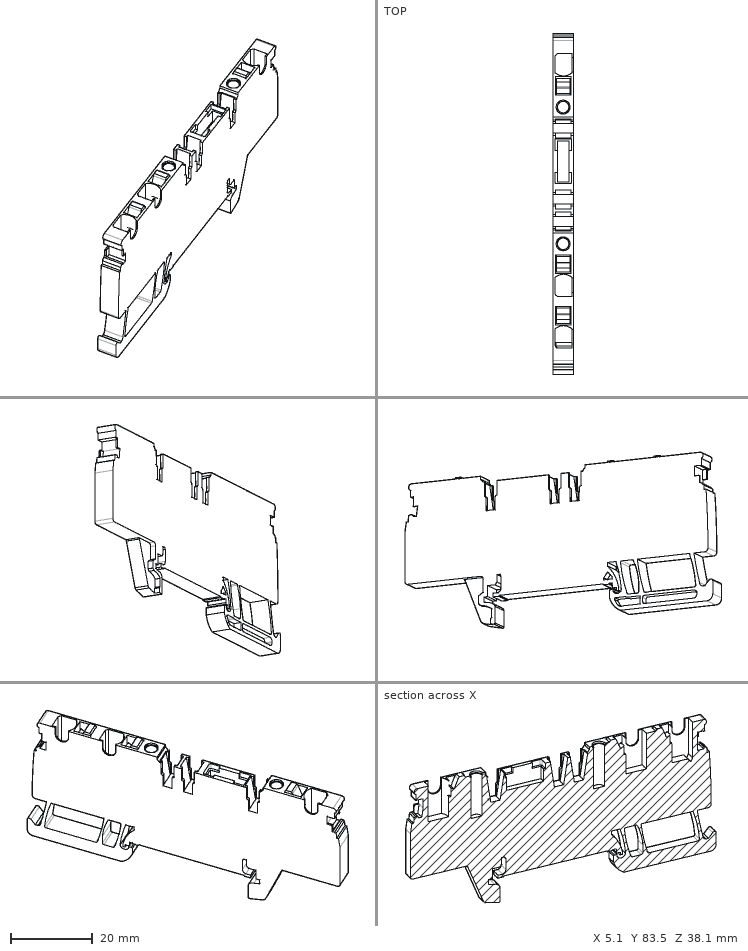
import cadquery as cq


WIDTH = 5.1
LENGTH = 83.54
HEIGHT = 38.1

HALF_LENGTH = LENGTH / 2
TOP_Z = 37.57
BRIDGE_TOP_Z = 36.06
HOUSING_BOTTOM_Z = 12.38
RAIL_PAD_Z = 6.87
RAIL_SEAT_Z = 7.09
HOUSING_END_MINUS = -40.46
END_TAPER = 0.4

SLOT_CENTERS = (18.5, 1.14, -4.3)
SLOT_UPPER_WIDTH = 3.4
SLOT_LOWER_WIDTH = 2.4
SLOT_STEP_Z = 32.28
SLOT_FLOOR_Z = 28.76
SLOT_STEP_HALF_RISE = 0.2
SLOT_FLARE_WIDTH = 4.65
SLOT_WALL = 0.7

SHOULDER_RUN = 1.07
SHOULDER_LEDGE = 0.4
SHOULDER_Z = 36.85

CLAMPS = ((26.68, 1), (-12.55, -1), (-25.15, -1))
PUSHER_POCKET_LENGTH = 4.45
PUSHER_POCKET_X = (0.68, 4.42)
PUSHER_POCKET_DEPTH = 4.5
PUSHER_CLEARANCE = 0.2
PUSHER_HEAD_LENGTH = 2.05
PUSHER_HEAD_BEVEL = 0.3
PUSHER_RAMP_LENGTH = 1.1
PUSHER_RAMP_DROP = 2.6
PUSHER_LIP_RUN = 0.9
PUSHER_LIP_RISE = 0.6
ENTRY_START = 4.65
ENTRY_END = 10.1
ENTRY_ARC_RISE = 0.85
ENTRY_WALL_MINUS_X = 0.5
ENTRY_WALL_PLUS_X = 0.35
ENTRY_CORNER = 0.6
ENTRY_DEPTH = 10.0
ENTRY_WINDOW_WIDTH = 3.5
ENTRY_WINDOW_DEPTH = 4.0
FLOOR_GROOVE_WIDTH = 1.3
FLOOR_GROOVE_DEPTH = 1.0

TEST_HOLES_Y = (23.69, -9.76)
TEST_HOLE_X = 2.52
TEST_HOLE_DIAMETER = 2.8
TEST_HOLE_RIM_DIAMETER = 3.4
TEST_HOLE_RIM_DEPTH = 0.5
TEST_HOLE_DEPTH = 12.0

MARKER_PLUS_Y = 15.87
MARKER_MINUS_Y = 4.95
MARKER_WALL = 1.15
MARKER_DEPTH = 5.0
MARKER_SEAT_WALL = 0.5
MARKER_SEAT_LENGTH = 2.8
MARKER_SEAT_DEPTH = 1.5
MARKER_END_GAP = 0.45
MARKER_SEAT_FILLET = 0.4

GROOVE_TAB = 0.45
GROOVE_TOP_Z = 34.25
GROOVE_MIDDLE_Z = 31.8
GROOVE_LEDGE_Z = 29.8
GROOVE_FLOOR_Z = 29.3
GROOVE_MINUS_DEPTH_Y = -36.75
GROOVE_MINUS_OPEN_Y = -38.3
GROOVE_PLUS_DEPTH_Y = 38.3
GROOVE_PLUS_OPEN_Y = 39.8

FOOT_FLOOR_Z = 3.87
FOOT_POCKET_BOTTOM_Z = 1.04
FOOT_POCKET_TOP_Z = 3.1
FOOT_POCKET_STEP = 0.2
FOOT_POCKET_DEPTH = 2.0
LONG_POCKET_Y = (-22.77, -37.45)
LONG_POCKET_PLUS_FILLET = 0.5
LONG_POCKET_MINUS_FILLET = 0.93
FOOT_WINDOW_FILLET = 0.4
STRUT_OVERLAP = 1.0
LATCH_RECESS_DEPTH = 1.4


def prism(wire, depth=WIDTH, start=0.0):
    """Extrude a closed Y-Z outline along +X."""
    return wire.close().extrude(depth).translate((start, 0, 0))


def outline(y, z):
    """Start a Y-Z outline at the given point."""
    return cq.Workplane("YZ").moveTo(y, z)


def box(x0, x1, y0, y1, z0, z1):
    """Axis-aligned box from its limits, the Y limits in either order."""
    size = (x1 - x0, abs(y1 - y0), z1 - z0)
    return cq.Workplane("XY").box(*size, centered=False).translate((x0, min(y0, y1), z0))


def housing():
    """Slab with stepped ends, bevelled tower shoulders, latch foot, and spring lip."""
    plus_shoulder = SLOT_CENTERS[0] + SLOT_UPPER_WIDTH / 2
    minus_shoulder = SLOT_CENTERS[-1] - SLOT_UPPER_WIDTH / 2
    edge = outline(HALF_LENGTH, 13.1)
    edge = edge.lineTo(HALF_LENGTH, 25.4).lineTo(HALF_LENGTH - END_TAPER, 28.1)
    edge = edge.lineTo(40.9, 28.1).lineTo(40.75, 29.6).lineTo(40.3, 29.8).lineTo(39.65, 29.8)
    edge = edge.lineTo(39.65, 31.3).lineTo(39.44, 32.0).lineTo(39.44, 34.25).lineTo(40.25, 34.25)
    edge = edge.lineTo(40.25, 35.95).threePointArc((40.75, 36.65), (39.95, TOP_Z))
    edge = edge.lineTo(plus_shoulder + SHOULDER_RUN, TOP_Z).lineTo(plus_shoulder + SHOULDER_RUN, SHOULDER_Z)
    edge = edge.lineTo(plus_shoulder + SHOULDER_LEDGE, BRIDGE_TOP_Z)
    edge = edge.lineTo(minus_shoulder - SHOULDER_LEDGE, BRIDGE_TOP_Z)
    edge = edge.lineTo(minus_shoulder - SHOULDER_RUN, SHOULDER_Z).lineTo(minus_shoulder - SHOULDER_RUN, TOP_Z)
    edge = edge.lineTo(-38.35, TOP_Z).threePointArc((-39.15, 36.65), (-38.67, 35.95))
    edge = edge.lineTo(-38.67, 34.25).lineTo(-37.9, 34.1).lineTo(-37.9, 31.75).lineTo(-38.15, 31.75)
    edge = edge.lineTo(-38.15, 30.0).lineTo(-38.7, 29.8).lineTo(-39.35, 29.2).lineTo(-39.35, 28.1)
    edge = edge.lineTo(-39.95, 28.1).threePointArc((-40.36, 20.0), (HOUSING_END_MINUS, 13.3))
    edge = edge.threePointArc((-40.2, 12.65), (-39.6, HOUSING_BOTTOM_Z))
    edge = edge.lineTo(-13.19, HOUSING_BOTTOM_Z).lineTo(-13.19, 11.5)
    edge = edge.threePointArc((-15.2, 8.85), (-16.2, 6.0)).lineTo(-16.2, 5.08).lineTo(-15.6, 5.08)
    edge = edge.lineTo(-15.6, 5.84).lineTo(-14.6, 5.84).lineTo(-14.45, 6.2).lineTo(-14.45, RAIL_SEAT_Z)
    edge = edge.lineTo(-13.7, RAIL_SEAT_Z).lineTo(-13.6, RAIL_PAD_Z).lineTo(-12.1, RAIL_PAD_Z)
    edge = edge.lineTo(-11.9, RAIL_SEAT_Z).lineTo(16.1, RAIL_SEAT_Z).lineTo(16.3, RAIL_PAD_Z)
    edge = edge.lineTo(17.86, RAIL_PAD_Z).lineTo(17.86, 7.8).lineTo(16.6, 7.8)
    edge = edge.threePointArc((15.95, 8.2), (15.72, 8.9)).lineTo(15.72, 11.9)
    edge = edge.lineTo(16.0, HOUSING_BOTTOM_Z).lineTo(16.76, HOUSING_BOTTOM_Z).lineTo(16.76, 10.5)
    edge = edge.lineTo(17.3, 9.86).lineTo(19.28, 9.86).lineTo(19.28, RAIL_SEAT_Z)
    edge = edge.lineTo(20.32, RAIL_SEAT_Z).lineTo(20.32, 5.83)
    edge = edge.lineTo(18.8, 5.5).threePointArc((17.8, 5.15), (17.23, 4.4))
    edge = edge.lineTo(17.23, 0.25).lineTo(17.55, 0.0)
    edge = edge.lineTo(21.3, 0.85).lineTo(21.8, 1.3).lineTo(26.1, 12.1).lineTo(26.4, HOUSING_BOTTOM_Z)
    edge = edge.lineTo(41.0, HOUSING_BOTTOM_Z).threePointArc((41.55, 12.6), (HALF_LENGTH, 13.1))
    return prism(edge)


def rail_foot():
    """Beam under the -Y half, carried by the struts and curled up at both ends."""
    embed_z = HOUSING_BOTTOM_Z + STRUT_OVERLAP
    edge = outline(-15.45, embed_z).lineTo(-15.45, HOUSING_BOTTOM_Z)
    edge = edge.threePointArc((-16.46, 8.74), (-16.97, 5.3))
    edge = edge.threePointArc((-15.95, 4.33), (-14.7, 5.1)).lineTo(-14.7, 5.58).lineTo(-13.95, 5.58)
    edge = edge.lineTo(-13.7, 5.33).lineTo(-13.7, 3.57).threePointArc((-14.75, 1.5), (-16.6, 0.0))
    edge = edge.lineTo(-40.2, 0.0).threePointArc((-41.3, 0.47), (-HALF_LENGTH, 1.6))
    edge = edge.lineTo(-HALF_LENGTH, 4.9).threePointArc((-41.35, 5.4), (-40.75, 5.2))
    edge = edge.lineTo(-39.6, FOOT_FLOOR_Z).lineTo(-38.9, FOOT_FLOOR_Z)
    edge = edge.threePointArc((-38.4, 4.2), (-38.2, 4.8))
    edge = edge.threePointArc((-37.35, 8.5), (-36.65, HOUSING_BOTTOM_Z))
    edge = edge.lineTo(-36.65, embed_z)
    foot = prism(edge)
    return foot.cut(strut_window_narrow()).cut(strut_window_wide())


def strut_window_narrow():
    """Opening between the two struts nearest the spring lip."""
    edge = outline(-16.72, HOUSING_BOTTOM_Z)
    edge = edge.threePointArc((-17.3, 8.5), (-18.6, FOOT_FLOOR_Z)).lineTo(-21.66, FOOT_FLOOR_Z)
    edge = edge.lineTo(-21.66, 6.5).threePointArc((-21.2, 9.4), (-20.1, HOUSING_BOTTOM_Z))
    return prism(edge).edges("|X").fillet(FOOT_WINDOW_FILLET)


def strut_window_wide():
    """Opening between the middle strut and the -Y strut."""
    edge = outline(-21.3, HOUSING_BOTTOM_Z)
    edge = edge.threePointArc((-21.95, 8.5), (-23.15, FOOT_FLOOR_Z)).lineTo(-37.15, FOOT_FLOOR_Z)
    edge = edge.threePointArc((-36.5, 8.5), (-35.4, HOUSING_BOTTOM_Z))
    return prism(edge).edges("|X and <Z").fillet(FOOT_WINDOW_FILLET)


def foot_pockets():
    """Two blind pockets in the -X face of the foot beam."""
    raised_top_z = FOOT_POCKET_TOP_Z + FOOT_POCKET_STEP
    first = outline(-15.3, raised_top_z).lineTo(-17.95, raised_top_z)
    first = first.lineTo(-18.6, FOOT_POCKET_TOP_Z).lineTo(-22.04, FOOT_POCKET_TOP_Z)
    first = first.lineTo(-22.04, FOOT_POCKET_BOTTOM_Z).lineTo(-16.5, FOOT_POCKET_BOTTOM_Z)
    first = first.lineTo(-15.9, 1.5).lineTo(-15.1, 2.9)
    second = box(0, FOOT_POCKET_DEPTH, *LONG_POCKET_Y, FOOT_POCKET_BOTTOM_Z, FOOT_POCKET_TOP_Z)
    second = second.edges("|X and >Y").fillet(LONG_POCKET_PLUS_FILLET)
    second = second.edges("|X and <Y").fillet(LONG_POCKET_MINUS_FILLET)
    return prism(first, FOOT_POCKET_DEPTH).union(second)


def triangle_pocket():
    """Blind triangular pocket in the -X face beside the spring lip."""
    edge = outline(-13.19, 9.95).lineTo(-12.2, 8.6).lineTo(-12.2, 8.1)
    edge = edge.lineTo(-14.45, 8.1).lineTo(-14.45, 8.7)
    return prism(edge, FOOT_POCKET_DEPTH)


def latch_recess():
    """Step in the -X face of the latch foot, leaving a rim along the rail side."""
    outer_y = 27.0
    edge = outline(outer_y, HOUSING_BOTTOM_Z).lineTo(21.33, HOUSING_BOTTOM_Z)
    edge = edge.threePointArc((20.77, 12.15), (20.54, 11.6)).lineTo(20.54, 8.28)
    edge = edge.lineTo(21.83, 7.5).lineTo(21.83, 5.6).lineTo(21.33, 5.1)
    edge = edge.threePointArc((19.7, 4.75), (18.24, 3.9)).lineTo(18.24, 1.8).lineTo(18.55, 1.4)
    edge = edge.lineTo(18.55, 0.0).lineTo(outer_y, 0.0)
    return prism(edge, LATCH_RECESS_DEPTH)


def bridge_slot(center):
    """Stepped slot through the width, flaring towards the top between the side walls."""
    upper = SLOT_UPPER_WIDTH / 2
    lower = SLOT_LOWER_WIDTH / 2
    flare = SLOT_FLARE_WIDTH / 2
    step_bottom_z = SLOT_STEP_Z - SLOT_STEP_HALF_RISE
    step_top_z = SLOT_STEP_Z + SLOT_STEP_HALF_RISE
    step = outline(center - lower, SLOT_FLOOR_Z).lineTo(center - lower, step_bottom_z)
    step = step.lineTo(center - upper, step_top_z).lineTo(center - upper, TOP_Z)
    step = step.lineTo(center + upper, TOP_Z).lineTo(center + upper, step_top_z)
    step = step.lineTo(center + lower, step_bottom_z).lineTo(center + lower, SLOT_FLOOR_Z)
    wedge = outline(center - lower, SLOT_FLOOR_Z).lineTo(center - flare, BRIDGE_TOP_Z)
    wedge = wedge.lineTo(center + flare, BRIDGE_TOP_Z).lineTo(center + lower, SLOT_FLOOR_Z)
    return prism(step).union(prism(wedge, WIDTH - 2 * SLOT_WALL, SLOT_WALL))


def clamp_cut(origin, direction):
    """Pusher pocket and wire entry of one clamp unit."""
    def along(distance):
        return origin + direction * distance

    pocket = box(*PUSHER_POCKET_X, origin, along(PUSHER_POCKET_LENGTH), TOP_Z - PUSHER_POCKET_DEPTH, HEIGHT)
    x0 = ENTRY_WALL_MINUS_X
    x1 = WIDTH - ENTRY_WALL_PLUS_X
    shoulder = along(ENTRY_START + ENTRY_ARC_RISE)
    entry = cq.Workplane("XY").moveTo(x0, shoulder)
    entry = entry.threePointArc(((x0 + x1) / 2, along(ENTRY_START)), (x1, shoulder))
    entry = entry.lineTo(x1, along(ENTRY_END)).lineTo(x0 + ENTRY_CORNER, along(ENTRY_END))
    entry = entry.lineTo(x0, along(ENTRY_END - ENTRY_CORNER)).close()
    entry = entry.extrude(ENTRY_DEPTH).translate((0, 0, TOP_Z - ENTRY_DEPTH))
    return pocket.union(entry)


def entry_window(origin, direction):
    """U-shaped break-through of the wire entry in the +X wall, centred on the entry."""
    middle = origin + direction * (ENTRY_START + ENTRY_END) / 2
    radius = ENTRY_WINDOW_WIDTH / 2
    bottom_z = TOP_Z - ENTRY_WINDOW_DEPTH
    edge = outline(middle + radius, TOP_Z).lineTo(middle + radius, bottom_z + radius)
    edge = edge.threePointArc((middle, bottom_z), (middle - radius, bottom_z + radius))
    edge = edge.lineTo(middle - radius, TOP_Z)
    return prism(edge, WIDTH / 2, WIDTH / 2)


def entry_floor_groove(origin, direction):
    """V-groove across the floor of a wire entry, at its far end."""
    end = origin + direction * ENTRY_END
    floor_z = TOP_Z - ENTRY_DEPTH
    valley_y = end - direction * FLOOR_GROOVE_WIDTH / 3
    edge = outline(end, floor_z).lineTo(valley_y, floor_z - FLOOR_GROOVE_DEPTH)
    edge = edge.lineTo(end - direction * FLOOR_GROOVE_WIDTH, floor_z)
    x0 = ENTRY_WALL_MINUS_X + ENTRY_CORNER / 2
    return prism(edge, WIDTH - ENTRY_WALL_PLUS_X - x0, x0)


def pusher(origin, direction):
    """Pusher standing in its pocket: a bevelled head, a ramp, and a lip facing the wire entry."""
    def along(distance):
        return origin + direction * distance

    base_z = TOP_Z - PUSHER_POCKET_DEPTH
    valley_z = TOP_Z - PUSHER_RAMP_DROP
    valley = PUSHER_HEAD_LENGTH + PUSHER_RAMP_LENGTH
    x0 = PUSHER_POCKET_X[0] + PUSHER_CLEARANCE
    x1 = PUSHER_POCKET_X[1] - PUSHER_CLEARANCE
    edge = outline(origin, base_z).lineTo(origin, TOP_Z).lineTo(along(PUSHER_HEAD_BEVEL), HEIGHT)
    edge = edge.lineTo(along(PUSHER_HEAD_LENGTH - PUSHER_HEAD_BEVEL), HEIGHT)
    edge = edge.lineTo(along(PUSHER_HEAD_LENGTH), TOP_Z).lineTo(along(valley), valley_z)
    edge = edge.lineTo(along(valley + PUSHER_LIP_RUN), valley_z + PUSHER_LIP_RISE)
    edge = edge.lineTo(along(valley + PUSHER_LIP_RUN), base_z)
    return prism(edge, x1 - x0, x0)


def test_hole(y):
    """Blind test hole with a counterbored rim."""
    top = cq.Workplane("XY").workplane(offset=TOP_Z).center(TEST_HOLE_X, y)
    bore = top.circle(TEST_HOLE_DIAMETER / 2).extrude(-TEST_HOLE_DEPTH)
    return bore.union(top.circle(TEST_HOLE_RIM_DIAMETER / 2).extrude(-TEST_HOLE_RIM_DEPTH))


def marker_pocket():
    """Deep pocket with a wider shallow seat at each end."""
    seat_z = BRIDGE_TOP_Z - MARKER_SEAT_DEPTH
    y0 = MARKER_MINUS_Y + MARKER_END_GAP
    y1 = MARKER_PLUS_Y - MARKER_END_GAP
    pocket = box(MARKER_WALL, WIDTH - MARKER_WALL, y0, y1, BRIDGE_TOP_Z - MARKER_DEPTH, BRIDGE_TOP_Z)
    for end, direction in ((MARKER_PLUS_Y, -1), (MARKER_MINUS_Y, 1)):
        seat = box(MARKER_SEAT_WALL, WIDTH - MARKER_SEAT_WALL, end, end + direction * MARKER_SEAT_LENGTH,
                   seat_z, BRIDGE_TOP_Z)
        pocket = pocket.union(seat)
    return pocket.edges("|Z and <Y").fillet(MARKER_SEAT_FILLET)


def end_grooves():
    """Label groove in each stepped end; a thin tab stays at one side above mid-height, the other below."""
    minus_limits = (GROOVE_MINUS_DEPTH_Y, GROOVE_MINUS_OPEN_Y)
    plus_limits = (GROOVE_PLUS_DEPTH_Y, GROOVE_PLUS_OPEN_Y)
    minus_upper = box(0, WIDTH - GROOVE_TAB, *minus_limits, GROOVE_MIDDLE_Z, GROOVE_TOP_Z)
    minus_lower = box(GROOVE_TAB, WIDTH, *minus_limits, GROOVE_FLOOR_Z, GROOVE_MIDDLE_Z)
    edge = outline(GROOVE_PLUS_OPEN_Y, GROOVE_MIDDLE_Z).lineTo(GROOVE_PLUS_DEPTH_Y, GROOVE_MIDDLE_Z)
    edge = edge.lineTo(38.65, GROOVE_FLOOR_Z).lineTo(39.44, GROOVE_FLOOR_Z)
    edge = edge.lineTo(GROOVE_PLUS_OPEN_Y, GROOVE_LEDGE_Z)
    plus_lower = prism(edge, WIDTH - GROOVE_TAB)
    plus_upper = box(GROOVE_TAB, WIDTH, *plus_limits, GROOVE_MIDDLE_Z, GROOVE_TOP_Z)
    return minus_upper.union(minus_lower).union(plus_lower).union(plus_upper)


result = housing().union(rail_foot())
for slot_center in SLOT_CENTERS:
    result = result.cut(bridge_slot(slot_center))
for clamp_origin, clamp_direction in CLAMPS:
    result = result.cut(clamp_cut(clamp_origin, clamp_direction))
    result = result.cut(entry_window(clamp_origin, clamp_direction))
    result = result.union(pusher(clamp_origin, clamp_direction))
result = result.cut(entry_floor_groove(*CLAMPS[-1]))
for hole_y in TEST_HOLES_Y:
    result = result.cut(test_hole(hole_y))
for cutter in (marker_pocket(), end_grooves(), foot_pockets(), triangle_pocket(), latch_recess()):
    result = result.cut(cutter)